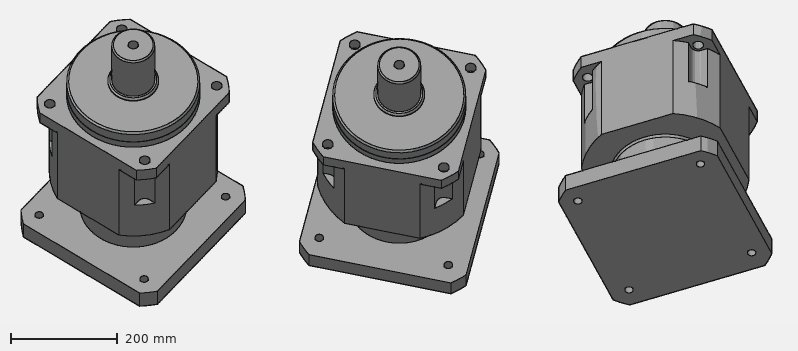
import cadquery as cq
import math

base_top = 40.0
neck_lip_bottom = 140.5
body_bottom = 145.5
pocket_floor = 238.5
flange_bottom = 343.0
flange_top = 372.5
pilot_step = 388.0
pilot_top = 413.5
collar_top = 419.0
shaft_top = 523.0

base_width = 320.0
base_corner_radius = 210.0
base_hole_diameter = 15.5
base_hole_spacing = 248.5
base_hole_offset = (0, -2.5)
base_hole_twist = -0.7

neck_radius = 100.5
neck_lip = 3.0

body_width = 280.0
body_corner_radius = 157.5
flange_corner_radius = 180.0
flange_hole_diameter = 20.0
flange_hole_pitch_radius = 157.5
flange_hole_position = flange_hole_pitch_radius / math.sqrt(2)

pocket_radius = 14.5

pilot_radius = 124.5
shoulder_radius = 125.0
pilot_chamfer = 3.5
collar_radius = 47.5
collar_chamfer = 3.5
shaft_radius = 40.5
shaft_chamfer = 3.0

centre_hole_diameter = 19.0
centre_hole_depth = 47.0
drill_point_angle = 118


def disc(radius, bottom, top):
    """Round section between two heights."""
    return cq.Workplane("XY").workplane(offset=bottom).circle(radius).extrude(top - bottom)


def revolved(profile):
    """Solid of revolution about Z from (radius, height) points."""
    return cq.Workplane("XZ").polyline(profile).close().revolve(360, (0, 0, 0), (0, 1, 0))


def turned_square(width, corner_radius, bottom, top):
    """Square block with its vertical corners turned to a common radius."""
    square = cq.Workplane("XY").workplane(offset=bottom).rect(width, width).extrude(top - bottom)
    return square.intersect(disc(corner_radius, bottom, top))


def base_plate():
    """Base plate with a slightly twisted, off-centre square of through holes."""
    plate = turned_square(base_width, base_corner_radius, 0, base_top)
    holes = (
        cq.Workplane("XY")
        .rect(base_hole_spacing, base_hole_spacing, forConstruction=True)
        .vertices()
        .circle(base_hole_diameter / 2)
        .extrude(base_top)
        .rotate((0, 0, 0), (0, 0, 1), base_hole_twist)
        .translate((*base_hole_offset, 0))
    )
    return plate.cut(holes)


def neck():
    """Round neck that flares into a short cone under the body."""
    profile = [
        (0, base_top),
        (neck_radius, base_top),
        (neck_radius, neck_lip_bottom),
        (neck_radius + neck_lip, body_bottom),
        (0, body_bottom),
    ]
    return revolved(profile)


def corner_pocket():
    """Pocket at the +X +Y corner: two straight walls blended around the screw axis."""
    length = body_width / 2
    inner_wall = flange_hole_position - pocket_radius
    return (
        cq.Workplane("XY")
        .workplane(offset=pocket_floor)
        .moveTo(inner_wall, inner_wall)
        .rect(length, length, centered=False)
        .extrude(flange_bottom - pocket_floor)
        .edges("|Z and <X and <Y")
        .fillet(pocket_radius)
    )


def body():
    """Gear housing with a screw access pocket at each corner."""
    housing = turned_square(body_width, body_corner_radius, body_bottom, flange_bottom)
    for quarter in range(4):
        housing = housing.cut(corner_pocket().rotate((0, 0, 0), (0, 0, 1), 90 * quarter))
    return housing


def flange():
    """Mounting flange with a screw hole above each pocket."""
    plate = turned_square(body_width, flange_corner_radius, flange_bottom, flange_top)
    return (
        plate.faces(">Z")
        .workplane(origin=(0, 0, flange_top))
        .rect(2 * flange_hole_position, 2 * flange_hole_position, forConstruction=True)
        .vertices()
        .hole(flange_hole_diameter)
    )


def output_end():
    """Shoulder carrying the chamfered pilot, collar and shaft."""
    shoulder = disc(shoulder_radius, flange_top, pilot_step)
    pilot = disc(pilot_radius, pilot_step, pilot_top).faces(">Z").chamfer(pilot_chamfer)
    collar = disc(collar_radius, pilot_top, collar_top).faces(">Z").chamfer(collar_chamfer)
    shaft = disc(shaft_radius, collar_top, shaft_top).faces(">Z").chamfer(shaft_chamfer)
    return shoulder.union(pilot).union(collar).union(shaft)


def centre_hole():
    """Drilled hole with a conical point, opening at the shaft end."""
    radius = centre_hole_diameter / 2
    point_length = radius / math.tan(math.radians(drill_point_angle / 2))
    shoulder = shaft_top - centre_hole_depth
    profile = [
        (0, shaft_top),
        (radius, shaft_top),
        (radius, shoulder),
        (0, shoulder - point_length),
    ]
    return revolved(profile)


result = base_plate().union(neck()).union(body()).union(flange()).union(output_end()).cut(centre_hole())